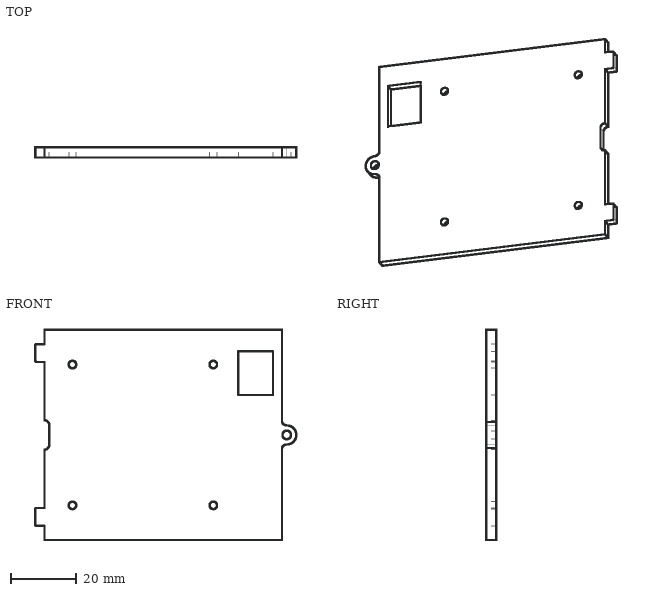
import cadquery as cq
import math

total_length = 80.0
plate_height = 64.5
thickness = 3.2
tab_length = 2.8
plate_right = 75.6

tab_width = 5.5
tab_spacing = 50.2
tab_corner_radius = 0.5

notch_depth = 1.5
notch_height = 9.0
notch_radius = notch_depth

lug_radius = 3.0
lug_bore = 2.6
lug_blend_radius = 1.5
lug_x = total_length - lug_radius

hole_diameter = 2.2
hole_pitch = 43.1
first_hole_x = 11.4

window_left = 62.2
window_width = 10.6
window_bottom = 12.2
window_height = 13.4


def extrude(sketch):
    """Give an XZ outline the plate thickness, centred on Y = 0."""
    return sketch.extrude(thickness / 2, both=True)


def block(left, bottom, width, height):
    return extrude(cq.Workplane("XZ").moveTo(left, bottom).rect(width, height, centered=False))


def cylinder(x, z, diameter):
    return extrude(cq.Workplane("XZ").moveTo(x, z).circle(diameter / 2))


def tab(center_z):
    """Tab with its two outer corners rounded."""
    body = block(0, center_z - tab_width / 2, tab_length, tab_width)
    return body.edges("|Y and <X").fillet(tab_corner_radius)


def notch():
    """Edge notch with rounded inner corners; the cutter starts outside the edge."""
    body = block(tab_length - notch_depth, -notch_height / 2, 2 * notch_depth, notch_height)
    return body.edges("|Y and >X").fillet(notch_radius)


def lug():
    """Round ear whose top and bottom flare into the plate edge along concave arcs."""
    reach = lug_x - plate_right
    blend_center_z = lug_radius + lug_blend_radius

    def blend_z(distance):
        return blend_center_z - math.sqrt(lug_blend_radius**2 - distance**2)

    root_z = blend_z(reach)
    middle_x = lug_x - reach / 2
    middle_z = blend_z(reach / 2)
    return extrude(
        cq.Workplane("XZ")
        .moveTo(plate_right, -root_z)
        .threePointArc((middle_x, -middle_z), (lug_x, -lug_radius))
        .threePointArc((total_length, 0), (lug_x, lug_radius))
        .threePointArc((middle_x, middle_z), (plate_right, root_z))
        .close()
    )


plate = block(tab_length, -plate_height / 2, plate_right - tab_length, plate_height)
plate = plate.cut(notch()).union(lug())
for side in (-1, 1):
    plate = plate.union(tab(side * tab_spacing / 2))

plate = plate.cut(cylinder(lug_x, 0, lug_bore))
for hole_x in (first_hole_x, first_hole_x + hole_pitch):
    for hole_z in (-hole_pitch / 2, hole_pitch / 2):
        plate = plate.cut(cylinder(hole_x, hole_z, hole_diameter))

result = plate.cut(block(window_left, window_bottom, window_width, window_height))